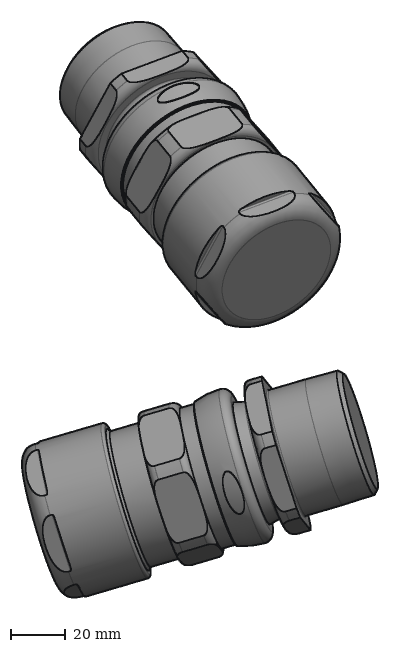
import cadquery as cq
import math


LENGTH = 122.7

HEX_FLATS = 55.0
HEX_TURNED_DIAMETER = 60.6

ENTRY_END_CHAMFER = 1.7
ENTRY_TIP_DIAMETER = 47.7
ENTRY_TAPER_END_X = 13.7
ENTRY_DIAMETER = 48.2
ENTRY_ROOT_FILLET = 0.5
ENTRY_HEX_START_X = 28.5
ENTRY_HEX_END_X = 36.2
ENTRY_HEX_ROUND = 3.4
NECK_START_DIAMETER = 44.9
NECK_DIAMETER = 46.7
NECK_FILLET = 1.2

RING_START_X = 41.7
RING_END_X = 55.6
RING_DIAMETER = 59.0
RING_FRONT_ROUND = 3.5
RING_END_CHAMFER = 0.4
PAD_RISE = 0.2
PAD_LENGTH = 6.4
PAD_WIDTH = 17.2
PAD_OFFSET = 0.2

COLLAR_DIAMETER = 54.0
BODY_HEX_START_X = 61.1
BODY_HEX_END_X = 76.8
BODY_HEX_ROUND = 3.1
BODY_DIAMETER = 52.1
SEAT_FLARE = 1.1

NUT_START_X = 89.3
NUT_DIAMETER = 59.5
NUT_FRONT_ROUND = 1.2
NUT_END_ROUND = 7.0
NUT_FLATS_START_X = 114.4
NUT_FLATS_FILLET = 0.6


def turned(profile):
    """Solid turned about X from a closed outline drawn as (x, radius)."""
    return profile.close().revolve(360, (0, 0, 0), (1, 0, 0))


def cylinder(start_x, end_x, radius):
    return cq.Workplane("YZ").workplane(offset=start_x).circle(radius).extrude(end_x - start_x)


def hex_prism(start_x, end_x):
    """Hexagonal prism along X with flats facing +Z and -Z."""
    across_corners = HEX_FLATS / math.cos(math.pi / 6)
    return cq.Workplane("YZ").workplane(offset=start_x).polygon(6, across_corners).extrude(end_x - start_x)


def turned_hexagon(start_x, end_x, rounding, round_start):
    """Hexagon whose corners are turned round, with its turned ends rounded over."""
    blank = cylinder(start_x, end_x, HEX_TURNED_DIAMETER / 2)
    blank = blank.faces(">X").edges().fillet(rounding)
    if round_start:
        blank = blank.faces("<X").edges().fillet(rounding)
    return hex_prism(start_x, end_x).intersect(blank)


def make_entry():
    radius = ENTRY_DIAMETER / 2
    tip_radius = ENTRY_TIP_DIAMETER / 2
    thread = turned(
        cq.Workplane("XY")
        .lineTo(0, tip_radius - ENTRY_END_CHAMFER)
        .lineTo(ENTRY_END_CHAMFER, tip_radius)
        .lineTo(ENTRY_TAPER_END_X, radius)
        .lineTo(ENTRY_HEX_START_X - ENTRY_ROOT_FILLET, radius)
        .radiusArc((ENTRY_HEX_START_X, radius + ENTRY_ROOT_FILLET), -ENTRY_ROOT_FILLET)
        .lineTo(ENTRY_HEX_START_X, 0)
    )
    neck_start_radius = NECK_START_DIAMETER / 2
    neck = turned(
        cq.Workplane("XY")
        .moveTo(ENTRY_HEX_END_X, 0)
        .lineTo(ENTRY_HEX_END_X, neck_start_radius + NECK_FILLET)
        .radiusArc((ENTRY_HEX_END_X + NECK_FILLET, neck_start_radius), -NECK_FILLET)
        .lineTo(RING_START_X, NECK_DIAMETER / 2)
        .lineTo(RING_END_X, NECK_DIAMETER / 2)
        .lineTo(RING_END_X, 0)
    )
    hexagon = turned_hexagon(ENTRY_HEX_START_X, ENTRY_HEX_END_X, ENTRY_HEX_ROUND, False)
    return thread.union(hexagon).union(neck)


def make_ring():
    radius = RING_DIAMETER / 2
    bore_radius = NECK_DIAMETER / 2
    crown_x = RING_START_X + RING_FRONT_ROUND
    chamfer_x = RING_END_X - RING_END_CHAMFER
    chamfer_radius = math.sqrt(radius**2 - (chamfer_x - crown_x) ** 2)
    ring = turned(
        cq.Workplane("XY")
        .moveTo(RING_START_X, bore_radius)
        .lineTo(RING_START_X, radius - RING_FRONT_ROUND)
        .radiusArc((crown_x, radius), RING_FRONT_ROUND)
        .radiusArc((chamfer_x, chamfer_radius), radius)
        .lineTo(RING_END_X, chamfer_radius - RING_END_CHAMFER)
        .lineTo(RING_END_X, bore_radius)
    )
    ovals = (
        cq.Workplane("XY")
        .center(crown_x + PAD_OFFSET + PAD_LENGTH / 2, 0)
        .ellipse(PAD_LENGTH / 2, PAD_WIDTH / 2)
        .extrude(RING_DIAMETER, both=True)
    )
    raised_radius = radius + PAD_RISE
    raised_crown = turned(
        cq.Workplane("XY")
        .moveTo(crown_x - raised_radius, 0)
        .radiusArc((crown_x + raised_radius, 0), raised_radius)
    )
    bore = cylinder(RING_START_X, RING_END_X, bore_radius)
    pads = ovals.intersect(raised_crown).cut(bore)
    return ring.union(pads)


def make_body():
    radius = BODY_DIAMETER / 2
    collar = cylinder(RING_END_X, BODY_HEX_START_X, COLLAR_DIAMETER / 2)
    hexagon = turned_hexagon(BODY_HEX_START_X, BODY_HEX_END_X, BODY_HEX_ROUND, True)
    barrel = turned(
        cq.Workplane("XY")
        .moveTo(BODY_HEX_END_X, 0)
        .lineTo(BODY_HEX_END_X, radius)
        .lineTo(NUT_START_X - SEAT_FLARE, radius)
        .lineTo(NUT_START_X, radius + SEAT_FLARE)
        .lineTo(NUT_START_X, 0)
    )
    return collar.union(hexagon).union(barrel)


def make_nut():
    blank = cylinder(NUT_START_X, LENGTH, NUT_DIAMETER / 2)
    blank = blank.faces("<X").edges().fillet(NUT_FRONT_ROUND)
    blank = blank.faces(">X").edges().fillet(NUT_END_ROUND)
    around = cylinder(NUT_FLATS_START_X, LENGTH, NUT_DIAMETER)
    waste = around.cut(hex_prism(NUT_FLATS_START_X, LENGTH))
    waste = waste.faces("<X").edges("not %CIRCLE").fillet(NUT_FLATS_FILLET)
    return blank.cut(waste)


entry = make_entry()
ring = make_ring()
body = make_body()
nut = make_nut()

result = cq.Compound.makeCompound(
    [entry.solids().val(), ring.solids().val(), body.solids().val(), nut.solids().val()]
)